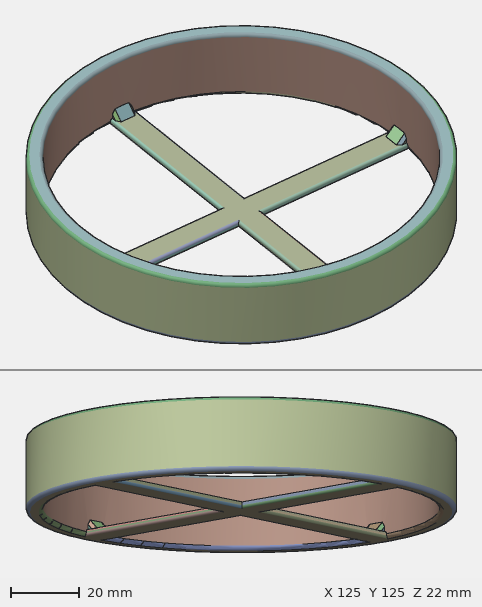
import cadquery as cq

outer_diameter = 125.0
inner_diameter = 115.0
height = 22.0
rim_fillet = 1.0
base_fillet = 1.2

spoke_width = 8.5
spoke_thickness = 2.0
spoke_edge = 0.8

brace_width = spoke_width - 2 * spoke_edge
brace_size = 3.0
brace_edge = 1.0

inner_radius = inner_diameter / 2
mid_radius = (outer_diameter + inner_diameter) / 4


def make_ring():
    ring = cq.Workplane("XY").circle(outer_diameter / 2).circle(inner_radius).extrude(height)
    ring = ring.faces(">Z").edges().fillet(rim_fillet)
    return ring.faces("<Z").edges().fillet(base_fillet)


def make_spokes():
    """Two crossed bars with rounded edges, ending inside the ring wall."""
    length = 2 * mid_radius
    bar_x = cq.Workplane("XY").box(length, spoke_width, spoke_thickness, centered=(True, True, False))
    bar_y = bar_x.rotate((0, 0, 0), (0, 0, 1), 90)
    return bar_x.union(bar_y).faces("|Z").edges().fillet(spoke_edge)


def make_brace(angle):
    """A 45-degree wedge on top of a spoke, with the sides of its slope bevelled."""
    toe = inner_radius - brace_size
    rise = mid_radius - toe
    brace = (
        cq.Workplane("XZ")
        .moveTo(toe, spoke_thickness)
        .lineTo(mid_radius, spoke_thickness)
        .lineTo(mid_radius, spoke_thickness + rise)
        .close()
        .extrude(brace_width / 2, both=True)
    )
    slope_direction = cq.Vector(-1, 0, 1)
    slope = brace.faces(cq.selectors.DirectionMinMaxSelector(slope_direction))
    return slope.edges("not |Y").chamfer(brace_edge).rotate((0, 0, 0), (0, 0, 1), angle)


result = make_ring().union(make_spokes())
for angle in range(0, 360, 90):
    result = result.union(make_brace(angle))